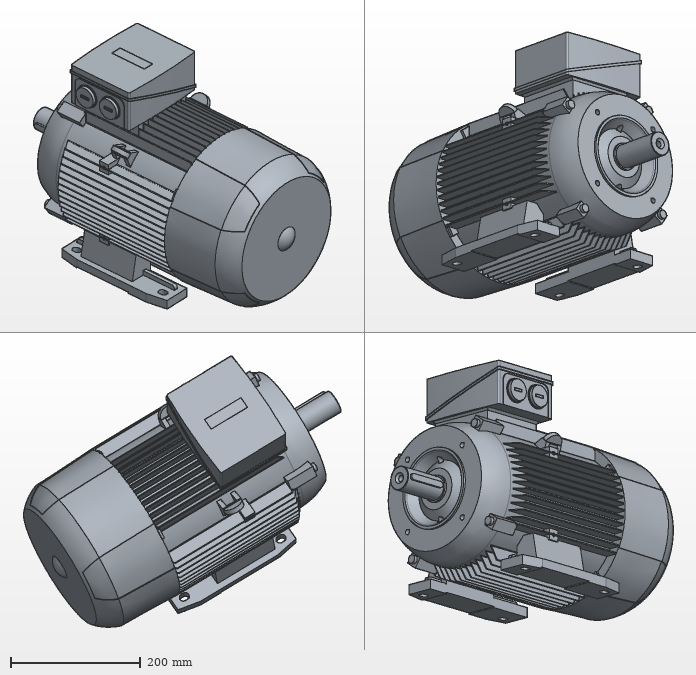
import cadquery as cq
import math


AXIS_HEIGHT = 132.0
TOTAL_LENGTH = 515.0
BOX_TOP_Z = 202.0

SHAFT_LENGTH = 80.0
SHAFT_RADIUS = 19.0
SHAFT_CHAMFER = 0.8
COLLAR_RADIUS = 21.7
CENTRE_HOLE_RADIUS = 5.0
CENTRE_HOLE_DEPTH = 25.0
CENTRE_SINK_RADIUS = 8.5
CENTRE_SINK_DEPTH = 4.0
KEY_LENGTH = 70.0
KEY_WIDTH = 10.0
KEY_TOP = 22.0
KEY_START_X = 5.0
KEY_ROOT_Y = 14.0

FLANGE_X = SHAFT_LENGTH
SPIGOT_RADIUS = 65.0
SPIGOT_HEIGHT = 3.5
SHIELD_FRONT_RADIUS = 99.5
SHIELD_END_X = 131.0
SHIELD_MID_X = 104.0
SHIELD_MID_RADIUS = 109.5
BOWL_RADIUS = 60.5
BOWL_CHAMFER = 2.0
GROOVE_RADIUS = 48.0
GROOVE_X = 95.0
HUB_RADIUS = 33.0
HUB_X = 83.5
COLLAR_X = SHAFT_LENGTH
FLANGE_BOLT_RADIUS = 82.5
FLANGE_HOLE_DIAMETER = 8.5
FLANGE_HOLE_DEPTH = 18.0
GROOVE_HOLE_DIAMETER = 10.0
GROOVE_HOLE_END_X = 104.0

CORE_RADIUS = 113.5
FIN_TIP_RADIUS = 131.0
FIN_FRONT_X = 136.5
FIN_FULL_X = 150.0
FRAME_END_X = 370.0
FIN_END_CHAMFER = 3.0
FIN_PITCH = 10.95
FIN_THICKNESS = 1.6
FINS_EACH_SIDE_OF_CENTRE = 6

COVER_BEND_X = 471.3
COVER_BEND_RADIUS = 127.2
COVER_END_X = 506.5
COVER_END_RADIUS = 104.0
COVER_MID_X = 491.0
COVER_MID_RADIUS = 117.5
PANEL_DEPTH = 1.0
PANEL_EDGE = 57.4
PANEL_END_X = 501.7
CAP_RADIUS = 20.0

LUG_SIZE = 20.0
LUG_CENTRE_RADIUS = 117.5
LUG_ANGLE = 34.8
LUG_START_X = SHIELD_MID_X
LUG_END_X = 150.5
BOLT_HEAD_RADIUS = 6.7
BOLT_HEAD_HEIGHT = 6.0
REAR_TAB_SIZE = 18.5
REAR_TAB_LENGTH = 4.5

SIDE_LUG_START_X = 219.5
SIDE_LUG_LENGTH = 18.5
SIDE_LUG_LOW_Z = 56.6
SIDE_LUG_HIGH_Z = 75.0
SIDE_LUG_Y = 112.5
SIDE_LUG_ROOT_Y = 85.0
SIDE_LUG_HOLE_DIAMETER = 5.5
SIDE_LUG_HOLE_DEPTH = 15.0

EYE_CENTRE_X = 246.3
EYE_TIP_RADIUS = 145.0
EYE_HALF_WIDTH = 16.7
EYE_HOLE_HALF_WIDTH = 9.0
EYE_HOLE_TOP_RADIUS = 129.0
EYE_HALF_THICKNESS = 4.2
EYE_LEG_TOP_RADIUS = 130.0
EYE_LEG_TOP_HALF = 6.0
EYE_LEG_ROOT_HALF = 15.5
EYE_ROOT_RADIUS = 108.0
EYE_ANGLE = 45.0

FOOT_START_X = 149.3
FOOT_END_X = 367.0
FOOT_TAPER_LENGTH = 37.5
FOOT_INNER_Y = 75.0
FOOT_OUTER_Y = 128.0
FOOT_TIP_Y = 121.0
FOOT_THICKNESS = 16.0
FOOT_RELIEF = 2.0
FOOT_HOLE_Y = 108.0
FOOT_HOLE_FIRST_X = SHAFT_LENGTH + 89.0
FOOT_HOLE_SPACING = 178.0
FOOT_HOLE_DIAMETER = 12.0
FOOT_HOLE_SLOT_LENGTH = 16.0
PEDESTAL_START_X = 185.8
PEDESTAL_END_X = 292.0
PEDESTAL_TOP_Z = -71.0
PEDESTAL_TOP_Y = 109.0
PEDESTAL_BOTTOM_Y = 117.5
FOOT_RIB_Y = 86.0
FOOT_RIB_WIDTH = 6.5
FOOT_RIB_HEIGHT = 8.0
FOOT_RIB_FRONT_X = 155.0
FOOT_RIB_REAR_X = 357.0
FOOT_RIB_NOSE_RADIUS = 6.0

BOX_BOTTOM_Z = 132.0
BOX_CORNER_START_X = 135.5
BOX_CORNER_END_X = 255.5
BOX_SIDE_BOW = 3.0
BOX_FRONT_Y = -84.0
BOX_BACK_Y = 71.0
BOX_CORNER_RADIUS = 3.0
SEAM_BACK_Z = 138.0
SEAM_FRONT_Z = 190.0
SEAM_WIDTH = 4.5
SEAM_OVERHANG = 1.6
NECK_START_X = 139.6
NECK_END_X = 250.0
NECK_HALF_WIDTH = 55.6
NECK_FLARE = 4.0
NECK_ROOT_Z = 90.0
GLAND_PLATE_START_X = 144.6
GLAND_PLATE_END_X = 246.0
GLAND_PLATE_TOP_Z = 184.5
GLAND_PLATE_CORNER = 12.0
GLAND_PLATE_HEIGHT = 1.2
GLAND_FIRST_X = 171.0
GLAND_SPACING = 48.0
GLAND_Z = 160.0
GLAND_COLLAR_DIAMETER = 38.5
GLAND_COLLAR_HEIGHT = 1.5
GLAND_HEAD_DIAMETER = 35.0
GLAND_FACE_Y = -92.3
GLAND_SLOT_LENGTH = 16.0
GLAND_SLOT_WIDTH = 4.0
GLAND_SLOT_DEPTH = 1.5
NAMEPLATE_CENTRE_X = 195.0
NAMEPLATE_CENTRE_Y = -8.0
NAMEPLATE_LENGTH = 67.0
NAMEPLATE_WIDTH = 19.0
NAMEPLATE_DEPTH = 0.5

SIDES = (-1, 1)
QUARTER_TURNS = (0, 90, 180, 270)


def block(x0, x1, y0, y1, z0, z1):
    """Axis-aligned box between two corners."""
    return cq.Workplane("XY").box(x1 - x0, y1 - y0, z1 - z0, centered=False).translate((x0, y0, z0))


def revolve_about_axis(profile):
    """Revolve a closed (x, radius) profile about the shaft axis."""
    return profile.revolve(360, (0, 0, 0), (1, 0, 0))


def turn(shape, angle):
    """Turn a shape about the shaft axis; an angle of 90 takes +Y to +Z."""
    return shape.rotate((0, 0, 0), (1, 0, 0), angle)


def plane_facing_minus_x(x):
    """Workplane at x looking along +X, with local axes -Y and +Z."""
    return cq.Workplane(cq.Plane(origin=(x, 0, 0), xDir=(0, -1, 0), normal=(-1, 0, 0)))


def plane_facing_minus_y(y):
    """Workplane at y with local axes X and Z; positive extrusion runs toward -Y."""
    return cq.Workplane("XZ", origin=(0, y, 0))


def make_shield():
    profile = (
        cq.Workplane("XY")
        .moveTo(HUB_X, 0)
        .lineTo(HUB_X, HUB_RADIUS)
        .lineTo(GROOVE_X, GROOVE_RADIUS)
        .lineTo(FLANGE_X - SPIGOT_HEIGHT + BOWL_CHAMFER, BOWL_RADIUS - BOWL_CHAMFER)
        .lineTo(FLANGE_X - SPIGOT_HEIGHT, BOWL_RADIUS)
        .lineTo(FLANGE_X - SPIGOT_HEIGHT, SPIGOT_RADIUS)
        .lineTo(FLANGE_X, SPIGOT_RADIUS)
        .lineTo(FLANGE_X, SHIELD_FRONT_RADIUS)
        .threePointArc((SHIELD_MID_X, SHIELD_MID_RADIUS), (SHIELD_END_X, CORE_RADIUS))
        .lineTo(SHIELD_END_X, 0)
        .close()
    )
    bolt_circle_side = FLANGE_BOLT_RADIUS * math.sqrt(2)
    bolt_holes = (
        plane_facing_minus_x(FLANGE_X)
        .rect(bolt_circle_side, bolt_circle_side, forConstruction=True)
        .vertices()
        .circle(FLANGE_HOLE_DIAMETER / 2)
        .extrude(-FLANGE_HOLE_DEPTH)
    )
    groove_holes = (
        plane_facing_minus_x(FLANGE_X)
        .pushPoints([(0, side * GROOVE_RADIUS) for side in SIDES])
        .circle(GROOVE_HOLE_DIAMETER / 2)
        .extrude(FLANGE_X - GROOVE_HOLE_END_X)
    )
    return revolve_about_axis(profile).cut(bolt_holes).cut(groove_holes)


def make_shaft():
    profile = (
        cq.Workplane("XY")
        .moveTo(CENTRE_HOLE_DEPTH, 0)
        .lineTo(CENTRE_HOLE_DEPTH, CENTRE_HOLE_RADIUS)
        .lineTo(CENTRE_SINK_DEPTH, CENTRE_HOLE_RADIUS)
        .lineTo(0, CENTRE_SINK_RADIUS)
        .lineTo(0, SHAFT_RADIUS - SHAFT_CHAMFER)
        .lineTo(SHAFT_CHAMFER, SHAFT_RADIUS)
        .lineTo(COLLAR_X, SHAFT_RADIUS)
        .lineTo(COLLAR_X, COLLAR_RADIUS)
        .lineTo(GROOVE_X, COLLAR_RADIUS)
        .lineTo(GROOVE_X, 0)
        .close()
    )
    key = (
        plane_facing_minus_y(0)
        .center(KEY_START_X + KEY_LENGTH / 2, 0)
        .slot2D(KEY_LENGTH, KEY_WIDTH)
        .extrude(KEY_TOP)
    )
    below_key = block(0, COLLAR_X, -KEY_ROOT_Y, KEY_ROOT_Y, -KEY_WIDTH, KEY_WIDTH)
    return revolve_about_axis(profile).union(key.cut(below_key))


def make_frame():
    core = (
        cq.Workplane("YZ", origin=(SHIELD_END_X, 0, 0))
        .circle(CORE_RADIUS)
        .extrude(FRAME_END_X - SHIELD_END_X)
    )
    span = (-FIN_TIP_RADIUS, FIN_TIP_RADIUS)
    fins = []
    for index in range(-FINS_EACH_SIDE_OF_CENTRE, FINS_EACH_SIDE_OF_CENTRE + 1):
        low = index * FIN_PITCH - FIN_THICKNESS / 2
        high = low + FIN_THICKNESS
        fins.append(block(FIN_FRONT_X, FRAME_END_X, *span, low, high))
        fins.append(block(FIN_FRONT_X, FRAME_END_X, low, high, *span))
    envelope = revolve_about_axis(
        cq.Workplane("XY")
        .moveTo(FIN_FRONT_X, 0)
        .lineTo(FIN_FRONT_X, CORE_RADIUS)
        .lineTo(FIN_FULL_X, FIN_TIP_RADIUS)
        .lineTo(FRAME_END_X - FIN_END_CHAMFER, FIN_TIP_RADIUS)
        .lineTo(FRAME_END_X, FIN_TIP_RADIUS - FIN_END_CHAMFER)
        .lineTo(FRAME_END_X, 0)
        .close()
    )
    frame = core
    for fin in fins:
        frame = frame.union(fin.intersect(envelope))
    return frame


def cover_body(inset):
    """Fan cover body with its outer surface moved inward by the inset."""
    return revolve_about_axis(
        cq.Workplane("XY")
        .moveTo(FRAME_END_X, 0)
        .lineTo(FRAME_END_X, FIN_TIP_RADIUS - inset)
        .lineTo(COVER_BEND_X, COVER_BEND_RADIUS - inset)
        .threePointArc((COVER_MID_X, COVER_MID_RADIUS - inset), (COVER_END_X, COVER_END_RADIUS - inset))
        .lineTo(COVER_END_X, 0)
        .close()
    )


def make_cover():
    cover = cover_body(0)
    skin = cover.cut(cover_body(PANEL_DEPTH))
    corner = block(FRAME_END_X, PANEL_END_X, PANEL_EDGE, FIN_TIP_RADIUS, PANEL_EDGE, FIN_TIP_RADIUS)
    panel = skin.intersect(corner)
    for angle in QUARTER_TURNS:
        cover = cover.cut(turn(panel, angle))
    cap_height = TOTAL_LENGTH - COVER_END_X
    sphere_radius = (CAP_RADIUS**2 + cap_height**2) / (2 * cap_height)
    half_angle = math.asin(CAP_RADIUS / sphere_radius) / 2
    cap_mid_x = TOTAL_LENGTH - sphere_radius * (1 - math.cos(half_angle))
    cap = revolve_about_axis(
        cq.Workplane("XY")
        .moveTo(COVER_END_X, 0)
        .lineTo(COVER_END_X, CAP_RADIUS)
        .threePointArc((cap_mid_x, sphere_radius * math.sin(half_angle)), (TOTAL_LENGTH, 0))
        .close()
    )
    return cover.union(cap)


def make_clamp_lugs():
    half = LUG_SIZE / 2
    lug = block(
        LUG_START_X, LUG_END_X,
        LUG_CENTRE_RADIUS - half, LUG_CENTRE_RADIUS + half,
        -half, half,
    )
    head = (
        cq.Workplane("YZ", origin=(LUG_START_X - BOLT_HEAD_HEIGHT, LUG_CENTRE_RADIUS, 0))
        .circle(BOLT_HEAD_RADIUS)
        .extrude(BOLT_HEAD_HEIGHT)
    )
    tab_half = REAR_TAB_SIZE / 2
    tab = block(
        FRAME_END_X - REAR_TAB_LENGTH, FRAME_END_X,
        LUG_CENTRE_RADIUS - tab_half, LUG_CENTRE_RADIUS + tab_half,
        -tab_half, tab_half,
    )
    front_lug = lug.union(head)
    lugs = []
    for angle in QUARTER_TURNS:
        lugs.append(turn(front_lug, angle + LUG_ANGLE))
        lugs.append(turn(tab, angle - LUG_ANGLE))
    return lugs


def make_side_lug():
    """Side lug on the -Y side above the axis."""
    end_x = SIDE_LUG_START_X + SIDE_LUG_LENGTH
    lug = block(SIDE_LUG_START_X, end_x, -SIDE_LUG_Y, -SIDE_LUG_ROOT_Y, SIDE_LUG_LOW_Z, SIDE_LUG_HIGH_Z)
    hole = (
        plane_facing_minus_y(-SIDE_LUG_Y)
        .center((SIDE_LUG_START_X + end_x) / 2, (SIDE_LUG_LOW_Z + SIDE_LUG_HIGH_Z) / 2)
        .circle(SIDE_LUG_HOLE_DIAMETER / 2)
        .extrude(-SIDE_LUG_HOLE_DEPTH)
    )
    return lug.cut(hole)


def make_lifting_eye():
    """Round-topped eye standing upright on +Z, with legs that widen toward the frame."""
    arc_centre = EYE_TIP_RADIUS - EYE_HALF_WIDTH
    left = EYE_CENTRE_X - EYE_HALF_WIDTH
    right = EYE_CENTRE_X + EYE_HALF_WIDTH
    arch = (
        cq.Workplane("XZ")
        .moveTo(left, EYE_ROOT_RADIUS)
        .lineTo(left, arc_centre)
        .threePointArc((EYE_CENTRE_X, EYE_TIP_RADIUS), (right, arc_centre))
        .lineTo(right, EYE_ROOT_RADIUS)
        .close()
        .extrude(EYE_HALF_THICKNESS, both=True)
    )
    legs = (
        cq.Workplane("YZ", origin=(left, 0, 0))
        .moveTo(-EYE_LEG_ROOT_HALF, EYE_ROOT_RADIUS)
        .lineTo(-EYE_LEG_TOP_HALF, EYE_LEG_TOP_RADIUS)
        .lineTo(EYE_LEG_TOP_HALF, EYE_LEG_TOP_RADIUS)
        .lineTo(EYE_LEG_ROOT_HALF, EYE_ROOT_RADIUS)
        .close()
        .extrude(2 * EYE_HALF_WIDTH)
    )
    opening = block(
        EYE_CENTRE_X - EYE_HOLE_HALF_WIDTH, EYE_CENTRE_X + EYE_HOLE_HALF_WIDTH,
        -EYE_LEG_ROOT_HALF, EYE_LEG_ROOT_HALF,
        EYE_ROOT_RADIUS, EYE_HOLE_TOP_RADIUS,
    )
    return arch.union(legs).cut(opening)


def make_foot():
    """Foot on the +Y side with its pedestal, ribs and bolt holes."""
    bottom = -AXIS_HEIGHT
    top = bottom + FOOT_THICKNESS
    plate = (
        cq.Workplane("XY", origin=(0, 0, bottom))
        .moveTo(FOOT_START_X, FOOT_INNER_Y)
        .lineTo(FOOT_START_X, FOOT_TIP_Y)
        .lineTo(FOOT_START_X + FOOT_TAPER_LENGTH, FOOT_OUTER_Y)
        .lineTo(FOOT_END_X - FOOT_TAPER_LENGTH, FOOT_OUTER_Y)
        .lineTo(FOOT_END_X, FOOT_TIP_Y)
        .lineTo(FOOT_END_X, FOOT_INNER_Y)
        .close()
        .extrude(FOOT_THICKNESS)
    )
    relief = block(
        PEDESTAL_START_X, PEDESTAL_END_X, FOOT_INNER_Y, FOOT_OUTER_Y, bottom, bottom + FOOT_RELIEF
    )
    holes = (
        cq.Workplane("XY", origin=(0, 0, bottom))
        .pushPoints([(FOOT_HOLE_FIRST_X + i * FOOT_HOLE_SPACING, FOOT_HOLE_Y) for i in range(2)])
        .slot2D(FOOT_HOLE_SLOT_LENGTH, FOOT_HOLE_DIAMETER)
        .extrude(FOOT_THICKNESS)
    )
    pedestal = (
        cq.Workplane("YZ", origin=(PEDESTAL_START_X, 0, 0))
        .moveTo(FOOT_INNER_Y, top)
        .lineTo(PEDESTAL_BOTTOM_Y, top)
        .lineTo(PEDESTAL_TOP_Y, PEDESTAL_TOP_Z)
        .lineTo(FOOT_INNER_Y, PEDESTAL_TOP_Z)
        .close()
        .extrude(PEDESTAL_END_X - PEDESTAL_START_X)
    )
    rib = block(
        FOOT_RIB_FRONT_X, FOOT_RIB_REAR_X,
        FOOT_RIB_Y, FOOT_RIB_Y + FOOT_RIB_WIDTH,
        top, top + FOOT_RIB_HEIGHT,
    )
    rib = rib.edges("|Y and >Z").fillet(FOOT_RIB_NOSE_RADIUS)
    return plate.cut(relief).cut(holes).union(pedestal).union(rib)


def box_outline(overhang, low_z, high_z):
    """Box block with bowed X sides, widened all round by the overhang."""
    x0 = BOX_CORNER_START_X - overhang
    x1 = BOX_CORNER_END_X + overhang
    y0 = BOX_FRONT_Y - overhang
    y1 = BOX_BACK_Y + overhang
    mid_y = (y0 + y1) / 2
    return (
        cq.Workplane("XY", origin=(0, 0, low_z))
        .moveTo(x0, y0)
        .lineTo(x1, y0)
        .threePointArc((x1 + BOX_SIDE_BOW, mid_y), (x1, y1))
        .lineTo(x0, y1)
        .threePointArc((x0 - BOX_SIDE_BOW, mid_y), (x0, y0))
        .close()
        .extrude(high_z - low_z)
        .edges("|Z")
        .fillet(BOX_CORNER_RADIUS)
    )


def make_seam():
    """Sloping lip where the box lid meets the base."""
    y0 = BOX_FRONT_Y - SEAM_OVERHANG
    y1 = BOX_BACK_Y + SEAM_OVERHANG
    half = SEAM_WIDTH / 2
    band = (
        cq.Workplane("YZ")
        .moveTo(y0, SEAM_FRONT_Z - half)
        .lineTo(y1, SEAM_BACK_Z - half)
        .lineTo(y1, SEAM_BACK_Z + half)
        .lineTo(y0, SEAM_FRONT_Z + half)
        .close()
        .extrude(TOTAL_LENGTH)
    )
    return box_outline(SEAM_OVERHANG, BOX_BOTTOM_Z, BOX_TOP_Z).intersect(band)


def make_neck():
    """Neck between frame and box, flaring out just under the box."""
    flare_z = BOX_BOTTOM_Z - NECK_FLARE
    length = NECK_END_X - NECK_START_X
    centre_x = (NECK_START_X + NECK_END_X) / 2
    neck = block(NECK_START_X, NECK_END_X, -NECK_HALF_WIDTH, NECK_HALF_WIDTH, NECK_ROOT_Z, flare_z)
    flare = (
        cq.Workplane("XY", origin=(centre_x, 0, flare_z))
        .rect(length, 2 * NECK_HALF_WIDTH)
        .workplane(offset=NECK_FLARE)
        .rect(length + NECK_FLARE, 2 * (NECK_HALF_WIDTH + NECK_FLARE))
        .loft(ruled=True)
    )
    return neck.union(flare)


def make_gland_plate():
    plate_y = BOX_FRONT_Y - GLAND_PLATE_HEIGHT
    plate = block(
        GLAND_PLATE_START_X, GLAND_PLATE_END_X, plate_y, BOX_FRONT_Y, BOX_BOTTOM_Z, GLAND_PLATE_TOP_Z
    )
    plate = plate.edges("|Y and >Z").fillet(GLAND_PLATE_CORNER)
    for index in range(2):
        centre = (GLAND_FIRST_X + index * GLAND_SPACING, GLAND_Z)
        collar = (
            plane_facing_minus_y(plate_y)
            .center(*centre)
            .circle(GLAND_COLLAR_DIAMETER / 2)
            .extrude(GLAND_COLLAR_HEIGHT)
        )
        head = (
            plane_facing_minus_y(plate_y)
            .center(*centre)
            .circle(GLAND_HEAD_DIAMETER / 2)
            .extrude(plate_y - GLAND_FACE_Y)
        )
        slot = (
            plane_facing_minus_y(GLAND_FACE_Y)
            .center(*centre)
            .rect(GLAND_SLOT_LENGTH, GLAND_SLOT_WIDTH)
            .extrude(-GLAND_SLOT_DEPTH)
        )
        plate = plate.union(collar).union(head).cut(slot)
    return plate


def make_terminal_box():
    nameplate = (
        cq.Workplane("XY", origin=(NAMEPLATE_CENTRE_X, NAMEPLATE_CENTRE_Y, BOX_TOP_Z))
        .rect(NAMEPLATE_LENGTH, NAMEPLATE_WIDTH)
        .extrude(-NAMEPLATE_DEPTH)
    )
    box = box_outline(0, BOX_BOTTOM_Z, BOX_TOP_Z).cut(nameplate)
    return box.union(make_seam()).union(make_neck()).union(make_gland_plate())


motor = make_frame().union(make_shield()).union(make_shaft()).union(make_cover())

for clamp_lug in make_clamp_lugs():
    motor = motor.union(clamp_lug)

upper_side_lug = make_side_lug()
lower_side_lug = upper_side_lug.mirror("XY")
for side_lug in (upper_side_lug, lower_side_lug):
    motor = motor.union(side_lug).union(side_lug.mirror("XZ"))

lifting_eye = make_lifting_eye()
foot = make_foot()
for side in SIDES:
    motor = motor.union(turn(lifting_eye, side * EYE_ANGLE))
motor = motor.union(foot).union(foot.mirror("XZ"))

result = motor.union(make_terminal_box())